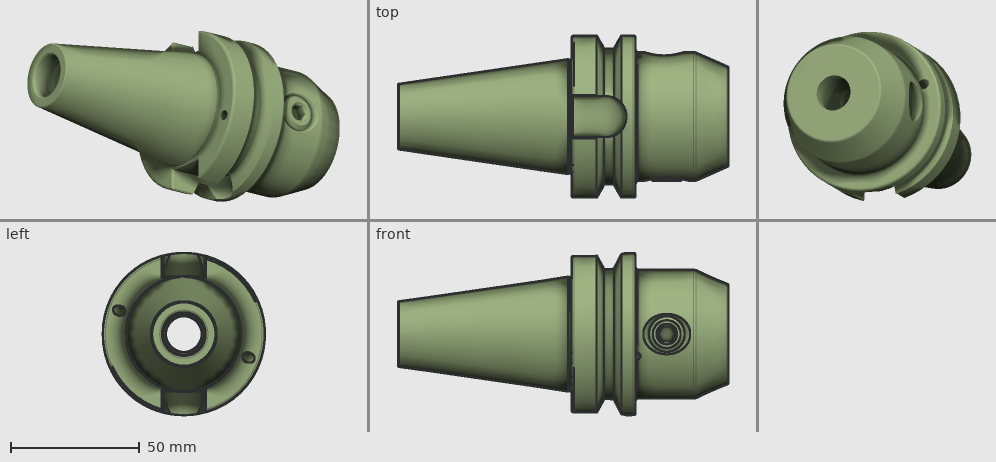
import cadquery as cq
import math

length = 128.4
taper_end = 66.1
flange_front = 67.4
flange_back = 92.3

tolerance = 0.01
clearance = 1.3

taper_rate = 7 / 24
taper_big_radius = 22.3
taper_small_radius = taper_big_radius - taper_end * taper_rate / 2
shank_end_chamfer = 0.4
neck_radius = 22.1
neck_root_fillet = 0.5

flange_radius = 63.0 / 2
flange_edge_radius = 1.0
groove_radius = 26.5
groove_flank_root = 27.1
groove_root_width = 0.3
groove_start = 77.2
groove_end = 86.8
groove_flank_angle = 30.0
groove_flank = (flange_radius - groove_flank_root) * math.tan(math.radians(groove_flank_angle))

nose_radius = 25.0
nose_root_fillet = 0.8
nose_cone_start = 115.3
nose_end_radius = 19.3
nose_cone_blend = 2.6
nose_end_fillet = 1.0

bore_radius = 6.9
entry_radius = 8.5
entry_depth = 6.7
entry_mouth_fillet = 0.9
land_radius = 8.1
land_end = 8.1
shoulder_length = land_radius - bore_radius

slot_half_width = 8.0
slot_floor = 22.3
slot_end = 88.7
slot_chamfer = 0.6

coolant_radius = 1.9
coolant_front_circle = 26.7
coolant_back_circle = 26.1
coolant_angle = 20.0
coolant_tilt = 37.0

screw_x = 104.4
screw_radius = 6.9
screw_chamfer = 1.5
screw_inner_end = bore_radius + 0.8
screw_outer_end = nose_radius - 0.1
socket_across_flats = 5.9
socket_depth = 5.1
socket_mouth_radius = 4.0
countersink_radius = 9.1

balance_x = 103.4
balance_radius = 7.7
balance_depth = 3.9


def round_edge(body, x, radius, fillet):
    """Fillet the circular edge of the given radius around the X axis at the given x."""
    circles = body.edges("%CIRCLE").vals()
    rim = [
        edge for edge in circles
        if abs(edge.arcCenter().x - x) < tolerance and abs(edge.radius() - radius) < tolerance
    ]
    return body.newObject(rim).fillet(fillet)


def turned_blank():
    """Taper shank, flange and nose as one turned shape."""
    outline = [
        (0, 0),
        (0, taper_small_radius - shank_end_chamfer),
        (shank_end_chamfer, taper_small_radius + shank_end_chamfer * taper_rate / 2),
        (taper_end, taper_big_radius),
        (taper_end, neck_radius),
        (flange_front, neck_radius),
        (flange_front, flange_radius),
        (groove_start, flange_radius),
        (groove_start + groove_flank, groove_flank_root),
        (groove_start + groove_flank + groove_root_width, groove_radius),
        (groove_end - groove_flank - groove_root_width, groove_radius),
        (groove_end - groove_flank, groove_flank_root),
        (groove_end, flange_radius),
        (flange_back, flange_radius),
        (flange_back, nose_radius),
        (nose_cone_start, nose_radius),
        (length, nose_end_radius),
        (length, 0),
    ]
    blank = cq.Workplane("XY").polyline(outline).close().revolve(360, (0, 0, 0), (1, 0, 0))

    blank = round_edge(blank, flange_front, neck_radius, neck_root_fillet)
    blank = round_edge(blank, flange_front, flange_radius, flange_edge_radius)
    blank = round_edge(blank, flange_back, flange_radius, flange_edge_radius)
    blank = round_edge(blank, flange_back, nose_radius, nose_root_fillet)
    blank = round_edge(blank, nose_cone_start, nose_radius, nose_cone_blend)
    return round_edge(blank, length, nose_end_radius, nose_end_fillet)


def axial_bore():
    """Through bore with a rounded, stepped entry at the shank end."""
    return (
        cq.Workplane("XY")
        .moveTo(0, 0)
        .lineTo(0, entry_radius + entry_mouth_fillet)
        .radiusArc((entry_mouth_fillet, entry_radius), -entry_mouth_fillet)
        .lineTo(entry_depth, entry_radius)
        .lineTo(entry_depth, land_radius)
        .lineTo(land_end, land_radius)
        .lineTo(land_end + shoulder_length, bore_radius)
        .lineTo(length, bore_radius)
        .lineTo(length, 0)
        .close()
        .revolve(360, (0, 0, 0), (1, 0, 0))
    )


def drive_slot():
    """Round-ended slot on the +Z side, with chamfered front and outer edges."""
    arc_center = slot_end - slot_half_width
    height = flange_radius - slot_floor + clearance
    slot = (
        cq.Workplane("XY", origin=(0, 0, slot_floor))
        .moveTo(flange_front, -slot_half_width)
        .lineTo(arc_center, -slot_half_width)
        .threePointArc((slot_end, 0), (arc_center, slot_half_width))
        .lineTo(flange_front, slot_half_width)
        .close()
        .extrude(height)
    )
    front_bevel = (
        cq.Workplane("YZ", origin=(flange_front, 0, slot_floor + height / 2))
        .rect(2 * (slot_half_width + slot_chamfer), height + 2 * slot_chamfer)
        .workplane(offset=slot_chamfer)
        .rect(2 * slot_half_width, height)
        .loft(ruled=True)
    )
    rim_height = math.sqrt(flange_radius**2 - slot_half_width**2)
    rim_bevel = (
        cq.Workplane("YZ", origin=(flange_front, 0, 0))
        .polyline([
            (-slot_half_width, rim_height - slot_chamfer),
            (slot_half_width, rim_height - slot_chamfer),
            (slot_half_width + 2 * slot_chamfer, rim_height + slot_chamfer),
            (-slot_half_width - 2 * slot_chamfer, rim_height + slot_chamfer),
        ])
        .close()
        .extrude(groove_start - flange_front)
    )
    return slot.union(front_bevel).union(rim_bevel)


def coolant_leg(mouth_x, mouth_radius, side):
    """Leg leaning toward the axis; side is +1 for a leg that runs in +X, -1 for -X."""
    slope = math.radians(coolant_tilt)
    direction = cq.Vector(side * math.cos(slope), -math.sin(slope), 0)
    lead_in = 2 * coolant_radius * math.tan(slope)
    start = cq.Vector(mouth_x, mouth_radius, 0) - direction * lead_in
    leg_length = (flange_back - flange_front) / 2 / math.cos(slope)
    return cq.Workplane(cq.Solid.makeCylinder(coolant_radius, lead_in + leg_length, start, direction))


def coolant_channel():
    """V-shaped channel from the flange front to the flange back, passing below the groove."""
    front_leg = coolant_leg(flange_front, coolant_front_circle, 1)
    back_leg = coolant_leg(flange_back, coolant_back_circle, -1)
    return front_leg.union(back_leg).rotate((0, 0, 0), (1, 0, 0), coolant_angle)


def screw_hole():
    """Hole along Y from the bore to the -Y side, with a countersink."""
    hole = cq.Workplane("XZ", origin=(screw_x, 0, 0)).circle(screw_radius).extrude(nose_radius + clearance)
    sink_depth = countersink_radius - screw_radius
    countersink = (
        cq.Workplane("XZ", origin=(screw_x, sink_depth - nose_radius, 0))
        .circle(screw_radius)
        .workplane(offset=sink_depth)
        .circle(countersink_radius)
        .loft(ruled=True)
    )
    return hole.union(countersink)


def balance_bore():
    """Shallow flat-bottomed bore on the +Y side."""
    return (
        cq.Workplane("XZ", origin=(balance_x, nose_radius, 0))
        .circle(balance_radius)
        .extrude(balance_depth)
    )


def make_holder():
    holder = turned_blank().cut(axial_bore()).cut(screw_hole()).cut(balance_bore())
    for half_turn in (0, 180):
        holder = holder.cut(drive_slot().rotate((0, 0, 0), (1, 0, 0), half_turn))
        holder = holder.cut(coolant_channel().rotate((0, 0, 0), (1, 0, 0), half_turn))
    return holder


def make_clamp_screw():
    """Headless screw with a hexagon socket facing -Y."""
    screw = (
        cq.Workplane("XZ", origin=(screw_x, -screw_inner_end, 0))
        .circle(screw_radius)
        .extrude(screw_outer_end - screw_inner_end)
        .faces("<Y")
        .chamfer(screw_chamfer)
    )
    socket_across_corners = socket_across_flats / math.cos(math.radians(30))
    socket = (
        cq.Workplane("XZ", origin=(screw_x, socket_depth - screw_outer_end, 0))
        .polygon(6, socket_across_corners)
        .extrude(socket_depth)
    )
    mouth_depth = socket_mouth_radius - socket_across_flats / 2
    mouth = (
        cq.Workplane("XZ", origin=(screw_x, mouth_depth - screw_outer_end, 0))
        .circle(socket_across_flats / 2)
        .workplane(offset=mouth_depth)
        .circle(socket_mouth_radius)
        .loft(ruled=True)
    )
    return screw.cut(socket).cut(mouth)


holder = make_holder()
clamp_screw = make_clamp_screw()

result = cq.Compound.makeCompound([holder.val(), clamp_screw.val()])